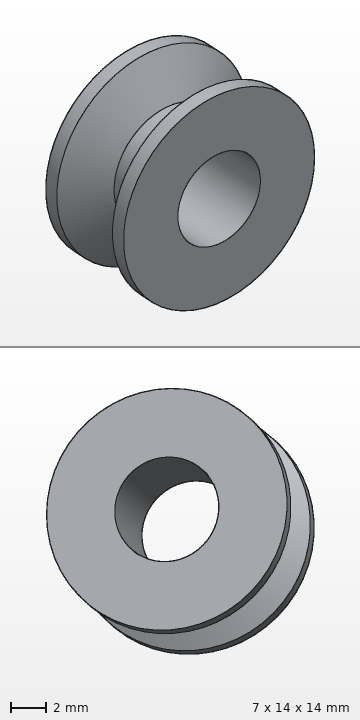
import cadquery as cq

width = 7.0
outer_diameter = 14.0
groove_floor_diameter = 8.05
bore_diameter = 6.05
rim_width = 1.0
groove_floor_width = 2.0

outer_radius = outer_diameter / 2
groove_floor_radius = groove_floor_diameter / 2
bore_radius = bore_diameter / 2
half_width = width / 2
half_groove_mouth = half_width - rim_width
half_groove_floor = groove_floor_width / 2


def make_roller():
    """Revolve the half section, given as (axial position, radius), about X."""
    section = (
        cq.Workplane("XY")
        .moveTo(-half_width, bore_radius)
        .lineTo(-half_width, outer_radius)
        .lineTo(-half_groove_mouth, outer_radius)
        .lineTo(-half_groove_floor, groove_floor_radius)
        .lineTo(half_groove_floor, groove_floor_radius)
        .lineTo(half_groove_mouth, outer_radius)
        .lineTo(half_width, outer_radius)
        .lineTo(half_width, bore_radius)
        .close()
    )
    return section.revolve(360, (0, 0, 0), (1, 0, 0))


result = make_roller()